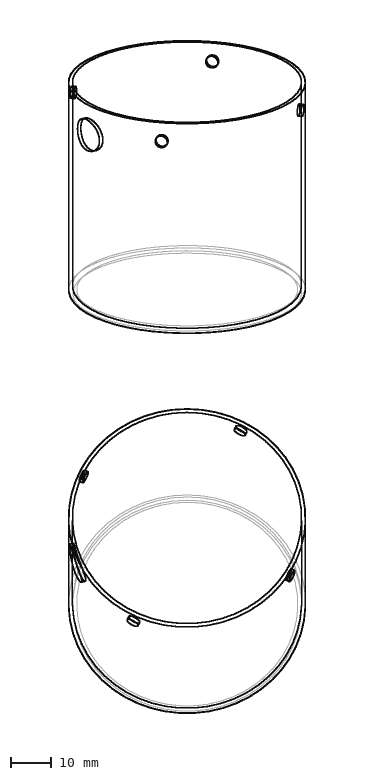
import cadquery as cq

outer_diameter = 57.9
inner_diameter = 56.0
height = 55.0
floor_thickness = 1.0
outer_edge_radius = 1.0
inner_edge_radius = 1.0

pin_hole_diameter = 3.0
pin_hole_depth_below_rim = 5.0
pin_hole_count = 4
first_pin_hole_angle = 45.0

window_width = 10.0
window_height = 8.0
window_depth_below_rim = 8.0


def cup():
    """Round cup with a closed floor and rounded bottom edges."""
    body = cq.Workplane("XY").circle(outer_diameter / 2).extrude(height)
    body = body.faces("<Z").edges().fillet(outer_edge_radius)
    cavity = (
        cq.Workplane("XY")
        .workplane(offset=floor_thickness)
        .circle(inner_diameter / 2)
        .extrude(height - floor_thickness)
        .faces("<Z")
        .edges()
        .fillet(inner_edge_radius)
    )
    return body.cut(cavity)


def pin_hole(angle):
    """Radial cutter from the axis outward, at an angle from +X."""
    return (
        cq.Workplane("YZ")
        .center(0, height - pin_hole_depth_below_rim)
        .circle(pin_hole_diameter / 2)
        .extrude(outer_diameter)
        .rotate((0, 0, 0), (0, 0, 1), angle)
    )


def window():
    """Oval cutter from the axis outward along -Y."""
    return (
        cq.Workplane("XZ")
        .center(0, height - window_depth_below_rim)
        .ellipse(window_width / 2, window_height / 2)
        .extrude(outer_diameter)
    )


result = cup().cut(window())
for index in range(pin_hole_count):
    result = result.cut(pin_hole(first_pin_hole_angle + index * 360 / pin_hole_count))